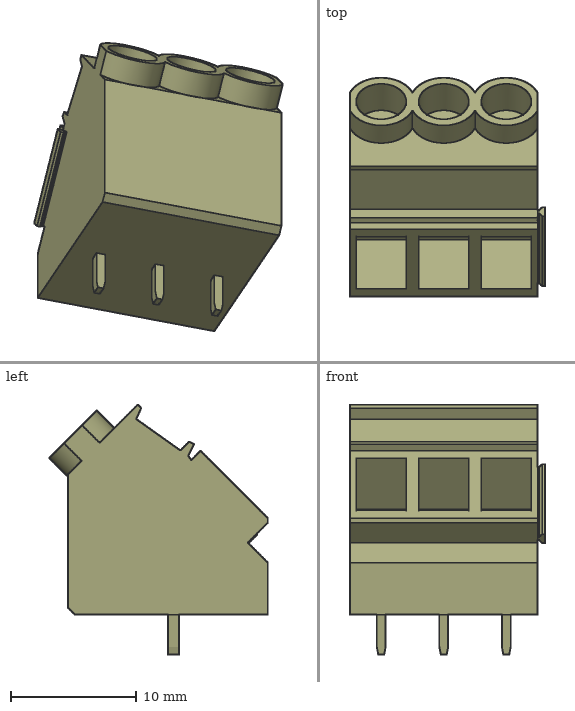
import cadquery as cq
import math

pole_count = 3
pole_pitch = 5.0
housing_width = pole_count * pole_pitch
pole_centers = [(i + 0.5) * pole_pitch for i in range(pole_count)]

housing_depth = 16.0
ridge_height = 16.8
back_wall_height = 11.2
back_edge_chamfer = 0.55

groove_bottom_z = 4.15
groove_depth = 1.6
groove_top_z = groove_bottom_z + 2 * groove_depth
slope_foot_z = 7.72
slope_rise = 5.4

slot_front = (6.12, 12.35)
slot_back = (6.35, 12.7)
lip_front = (5.9, 13.65)
lip_tip = (6.3, 13.85)
roof_low = (7.0, 13.15)
roof_high = (10.52, 15.65)
ridge_front = (10.12, 16.52)

collar_radius = 2.7
collar_height = 2.0
collar_center_y = 14.18
collar_center_z = housing_depth + back_wall_height - collar_center_y
bore_radius = 2.0
bore_depth = 3.0

pocket_width = 4.0
pocket_mouth_length = 5.9
pocket_floor_length = 4.2
pocket_depth = 4.8
pocket_mouth_center = slope_rise * math.sqrt(2) / 2
pocket_floor_center = 3.7

rib_length = 7.92
rib_start_along = -0.32
rib_center_below = 2.0
rib_outer_width = 1.0
rib_neck_width = 0.35
rib_neck_height = 0.12
rib_flare_height = 0.35
rib_height = 0.6

pin_width = 0.72
pin_tip_width = 0.48
pin_thickness = 0.9
pin_center_y = 7.55
pin_length = 3.2
pin_tip_length = 0.6


def make_shell():
    """Side outline extruded across all poles."""
    slope_top = (slope_rise, slope_foot_z + slope_rise)
    ridge_y = housing_depth + back_wall_height - ridge_height
    return (
        cq.Workplane("YZ")
        .moveTo(0, 0)
        .lineTo(0, groove_bottom_z)
        .lineTo(groove_depth, groove_bottom_z + groove_depth)
        .lineTo(0, groove_top_z)
        .lineTo(0, slope_foot_z)
        .lineTo(*slope_top)
        .lineTo(*slot_front)
        .lineTo(*slot_back)
        .lineTo(*lip_front)
        .lineTo(*lip_tip)
        .lineTo(*roof_low)
        .lineTo(*roof_high)
        .lineTo(*ridge_front)
        .lineTo(ridge_y, ridge_height)
        .lineTo(housing_depth, back_wall_height)
        .lineTo(housing_depth, 0)
        .close()
        .extrude(housing_width)
        .edges("|X and >Y and <Z")
        .chamfer(back_edge_chamfer)
    )


def back_slope_plane(x):
    """Plane on the back slope, centred on the collar at x, facing out of the slope."""
    return cq.Plane(origin=(x, collar_center_y, collar_center_z), xDir=(1, 0, 0), normal=(0, 1, 1))


def front_slope_section(x):
    """Section plane across X at the slope foot: local x climbs the front slope, local y points out of it."""
    return cq.Plane(origin=(x, 0, slope_foot_z), xDir=(0, 1, 1), normal=(1, 0, 0))


def make_collar(x):
    """Round collar trimmed to the width of its pole."""
    plane = back_slope_plane(x)
    pole_strip = cq.Workplane(plane).rect(pole_pitch, 2 * collar_radius).extrude(collar_height)
    return cq.Workplane(plane).circle(collar_radius).extrude(collar_height).intersect(pole_strip)


def make_bore(x):
    """Blind screw hole starting at the collar rim."""
    rim = cq.Workplane(back_slope_plane(x)).workplane(offset=collar_height)
    return rim.circle(bore_radius).extrude(-bore_depth)


def make_pocket(x):
    """Wire entry pocket whose end walls converge towards a floor parallel to the slope."""
    half_mouth = pocket_mouth_length / 2
    half_floor = pocket_floor_length / 2
    return (
        cq.Workplane(front_slope_section(x - pocket_width / 2))
        .polyline([
            (pocket_mouth_center - half_mouth, 0),
            (pocket_mouth_center + half_mouth, 0),
            (pocket_floor_center + half_floor, -pocket_depth),
            (pocket_floor_center - half_floor, -pocket_depth),
        ])
        .close()
        .extrude(pocket_width)
    )


def make_rib():
    """Dovetail rib: narrow neck flaring to a wide head."""
    climb = rib_start_along / math.sqrt(2)
    sink = rib_center_below / math.sqrt(2)
    origin = (housing_width, climb + sink, slope_foot_z + climb - sink)
    half_neck = rib_neck_width / 2
    half_head = rib_outer_width / 2
    return (
        cq.Workplane(cq.Plane(origin=origin, xDir=(1, 0, 0), normal=(0, 1, 1)))
        .polyline([
            (0, -half_neck),
            (rib_neck_height, -half_neck),
            (rib_flare_height, -half_head),
            (rib_height, -half_head),
            (rib_height, half_head),
            (rib_flare_height, half_head),
            (rib_neck_height, half_neck),
            (0, half_neck),
        ])
        .close()
        .extrude(rib_length)
    )


def make_housing():
    housing = make_shell().union(make_rib())
    for x in pole_centers:
        housing = housing.union(make_collar(x))
    for x in pole_centers:
        housing = housing.cut(make_bore(x)).cut(make_pocket(x))
    return housing


def make_pin(x):
    """Flat pin below the housing, narrowed at its tip."""
    half_width = pin_width / 2
    half_tip = pin_tip_width / 2
    shoulder_z = pin_tip_length - pin_length
    return (
        cq.Workplane("XZ", origin=(x, pin_center_y, 0))
        .polyline([
            (-half_width, 0),
            (half_width, 0),
            (half_width, shoulder_z),
            (half_tip, -pin_length),
            (-half_tip, -pin_length),
            (-half_width, shoulder_z),
        ])
        .close()
        .extrude(pin_thickness / 2, both=True)
    )


housing = make_housing()
pins = [make_pin(x) for x in pole_centers]

result = cq.Compound.makeCompound([housing.val(), *[pin.val() for pin in pins]])